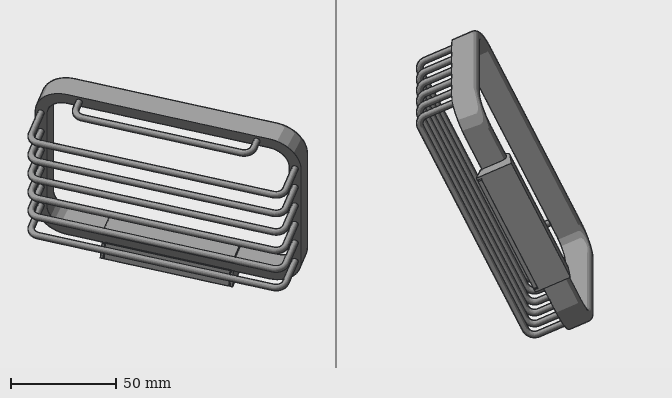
import cadquery as cq
import math


frame_width = 132.0
frame_height = 94.0
frame_depth = 13.0
rail_width = 6.0
corner_radius = 15.8
back_edge_radius = 2.9

wire_diameter = 3.2
bend_radius = 1.5 * wire_diameter
shelf_wire_count = 6
shelf_wire_reach = 21.5
shelf_wire_half_span = (frame_width - rail_width) / 2
shelf_wire_pitch = (frame_height - 2 * corner_radius) / (shelf_wire_count - 1)
top_wire_reach = 11.5
top_wire_half_span = 44.1
top_wire_z = (frame_height - rail_width) / 2

rail_bottom_z = -frame_height / 2
rail_top_z = rail_bottom_z + rail_width
clip_wall = 1.6
clip_drop = 8.0
clip_bottom_z = rail_bottom_z - clip_drop
clip_top_z = rail_top_z + clip_wall
clip_half_width = 32.9
clip_end_draft = 0.5
clip_back_y = frame_depth + 2.6
clip_shoulder_y = frame_depth + 1.7
clip_crown_radius = 4.5
clip_front_bottom_y = -2.8
clip_front_top_y = -0.8
lip_top_overhang = 0.1
lip_overhang = 0.5
lip_drop = 0.5

panel_half_width = 30.9
panel_side_gap = 0.7
panel_thickness = 2.0
panel_overlap = 0.4
panel_top_z = rail_bottom_z + panel_overlap


def make_frame():
    """Rounded rectangular ring with both of its back edges rounded over."""
    outer = cq.Workplane("XZ").rect(frame_width, frame_height).extrude(-frame_depth)
    outer = outer.edges("|Y").fillet(corner_radius)
    opening = cq.Workplane("XZ").rect(frame_width - 2 * rail_width, frame_height - 2 * rail_width)
    opening = opening.extrude(-frame_depth).edges("|Y").fillet(corner_radius - rail_width)
    return outer.cut(opening).faces(">Y").edges().fillet(back_edge_radius)


def make_wire(half_span, reach, z):
    """U-shaped round wire standing forward from the frame's front face."""
    bar_y = wire_diameter / 2 - reach
    bend_start_y = bar_y + bend_radius
    bar_half_length = half_span - bend_radius
    bend_offset = bend_radius * math.sqrt(0.5)
    bend_mid_x = bar_half_length + bend_offset
    bend_mid_y = bend_start_y - bend_offset
    path = (
        cq.Workplane("XY", origin=(0, 0, z))
        .moveTo(-half_span, 0)
        .lineTo(-half_span, bend_start_y)
        .threePointArc((-bend_mid_x, bend_mid_y), (-bar_half_length, bar_y))
        .lineTo(bar_half_length, bar_y)
        .threePointArc((bend_mid_x, bend_mid_y), (half_span, bend_start_y))
        .lineTo(half_span, 0)
    )
    return cq.Workplane("XZ", origin=(-half_span, 0, z)).circle(wire_diameter / 2).sweep(path)


def make_rack(frame):
    """Frame with the shelf wires and the shorter top wire joined to it."""
    rack = frame.union(make_wire(top_wire_half_span, top_wire_reach, top_wire_z))
    lowest_wire_z = rail_bottom_z + corner_radius
    for index in range(shelf_wire_count):
        wire_z = lowest_wire_z + index * shelf_wire_pitch
        rack = rack.union(make_wire(shelf_wire_half_span, shelf_wire_reach, wire_z))
    return rack


def front_slab(half_width, top_z):
    """Sloping slab that follows the clip's front face, up to the given height."""
    slope = (clip_front_top_y - clip_front_bottom_y) / (rail_bottom_z - clip_bottom_z)
    top_y = clip_front_bottom_y + slope * (top_z - clip_bottom_z)
    return (
        cq.Workplane("YZ")
        .moveTo(clip_front_bottom_y, clip_bottom_z)
        .lineTo(top_y, top_z)
        .lineTo(top_y + panel_thickness, top_z)
        .lineTo(clip_front_bottom_y + panel_thickness, clip_bottom_z)
        .close()
        .extrude(half_width, both=True)
    )


def draft_ends(body, bottom_half_width):
    """Slope both X ends of a body inward from its bottom width toward the top of the clip."""
    top_half_width = bottom_half_width - clip_end_draft
    envelope = (
        cq.Workplane("XZ", origin=(0, clip_front_bottom_y, 0))
        .moveTo(-bottom_half_width, clip_bottom_z)
        .lineTo(bottom_half_width, clip_bottom_z)
        .lineTo(top_half_width, clip_top_z)
        .lineTo(-top_half_width, clip_top_z)
        .close()
        .extrude(clip_front_bottom_y - clip_back_y)
    )
    return body.intersect(envelope)


def make_clip(frame):
    """Flared foot with a wall that hooks round the back and over the top of the bottom rail."""
    crown_centre_y = clip_shoulder_y - clip_crown_radius
    crown_centre_z = clip_top_z - clip_crown_radius
    crown_offset = clip_crown_radius * math.sqrt(0.5)
    profile = (
        cq.Workplane("YZ")
        .moveTo(clip_front_bottom_y, clip_bottom_z)
        .lineTo(clip_back_y, clip_bottom_z)
        .lineTo(clip_shoulder_y, crown_centre_z)
        .threePointArc(
            (crown_centre_y + crown_offset, crown_centre_z + crown_offset),
            (crown_centre_y, clip_top_z),
        )
        .lineTo(-lip_top_overhang, clip_top_z)
        .lineTo(-lip_overhang, rail_top_z)
        .lineTo(0, rail_top_z - lip_drop)
        .lineTo(0, rail_bottom_z)
        .lineTo(clip_front_top_y, rail_bottom_z)
        .close()
        .extrude(clip_half_width, both=True)
    )
    slot_half_width = panel_half_width + panel_side_gap
    panel_slot = draft_ends(front_slab(slot_half_width, rail_bottom_z), slot_half_width)
    return draft_ends(profile, clip_half_width).cut(panel_slot).cut(frame)


def make_panel(frame):
    """Panel flush with the clip's front face, its top edge lapping the rail's front."""
    return front_slab(panel_half_width, panel_top_z).cut(frame)


frame = make_frame()
rack = make_rack(frame)
clip = make_clip(frame)
panel = make_panel(frame)

result = cq.Compound.makeCompound([rack.solids().val(), clip.solids().val(), panel.solids().val()])